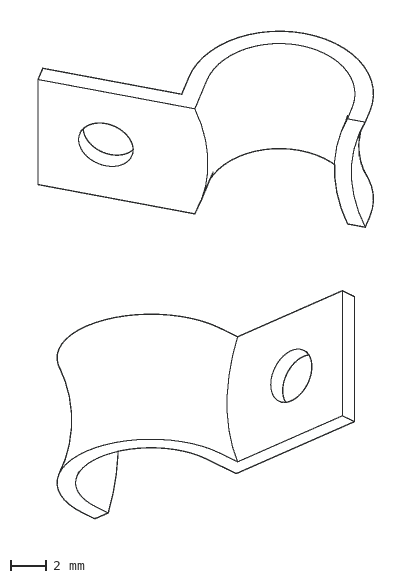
import cadquery as cq

length = 18.83
width = 8.0
thickness = 1.0
outer_end_radius = 5.33
inner_waist_radius = 3.5
inner_flare = 0.77
axis_y = 2.5
free_leg_length = 1.0
hole_diameter = 3.2
hole_x = 4.0

half_width = width / 2
axis_x = length - outer_end_radius
inner_end_radius = inner_waist_radius + inner_flare
outer_waist_radius = inner_waist_radius + thickness
plate_corner_x = axis_x - inner_end_radius


def wall_section(side):
    """Curved wall section in the XZ plane, on side -1 (left) or +1 (right)."""
    def point(radius, z):
        return (axis_x + side * radius, z)

    return (
        cq.Workplane("XZ", origin=(0, axis_y, 0))
        .moveTo(*point(inner_end_radius, -half_width))
        .threePointArc(point(inner_waist_radius, 0), point(inner_end_radius, half_width))
        .lineTo(*point(outer_end_radius, half_width))
        .threePointArc(point(outer_waist_radius, 0), point(outer_end_radius, -half_width))
        .close()
    )


def make_saddle():
    """Half turn of the wall section, with a straight leg at each end."""
    bend = wall_section(1).revolve(180, (axis_x, 0), (axis_x, 1))
    plate_leg = wall_section(-1).extrude(axis_y)
    free_leg = wall_section(1).extrude(free_leg_length)
    return bend.union(plate_leg).union(free_leg)


def make_plate():
    """Flat mounting plate whose right edge follows the inner wall curve."""
    return (
        cq.Workplane("XZ")
        .moveTo(0, -half_width)
        .lineTo(plate_corner_x, -half_width)
        .threePointArc((axis_x - inner_waist_radius, 0), (plate_corner_x, half_width))
        .lineTo(0, half_width)
        .close()
        .extrude(-thickness)
    )


def make_hole():
    return (
        cq.Workplane("XZ")
        .center(hole_x, 0)
        .circle(hole_diameter / 2)
        .extrude(-thickness)
    )


result = make_saddle().union(make_plate()).cut(make_hole())